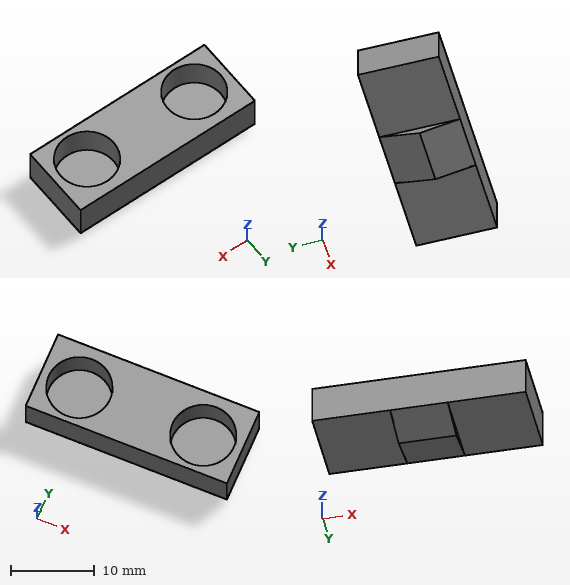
import cadquery as cq

length = 26
width = 10.0
body_height = 5.0

ridge_length = 7.02
ridge_height = 1.01

pocket_diameter = 7.9
pocket_depth = 4.0
pocket_spacing = 16.0
pocket_offset_y = -0.36


def make_body():
    """Block centred in X and Y with its underside at Z = 0."""
    return cq.Workplane("XY").box(length, width, body_height, centered=(True, True, False))


def make_ridge():
    """Shallow V-shaped prism hanging below the middle of the block."""
    return (
        cq.Workplane("YZ")
        .moveTo(-width / 2, 0)
        .lineTo(0, -ridge_height)
        .lineTo(width / 2, 0)
        .close()
        .extrude(ridge_length / 2, both=True)
    )


def make_pockets():
    """Pair of cylinders that cut down from the top face."""
    centers = [(side * pocket_spacing / 2, pocket_offset_y) for side in (-1, 1)]
    return (
        cq.Workplane("XY")
        .workplane(offset=body_height - pocket_depth)
        .pushPoints(centers)
        .circle(pocket_diameter / 2)
        .extrude(pocket_depth)
    )


result = make_body().union(make_ridge()).cut(make_pockets())